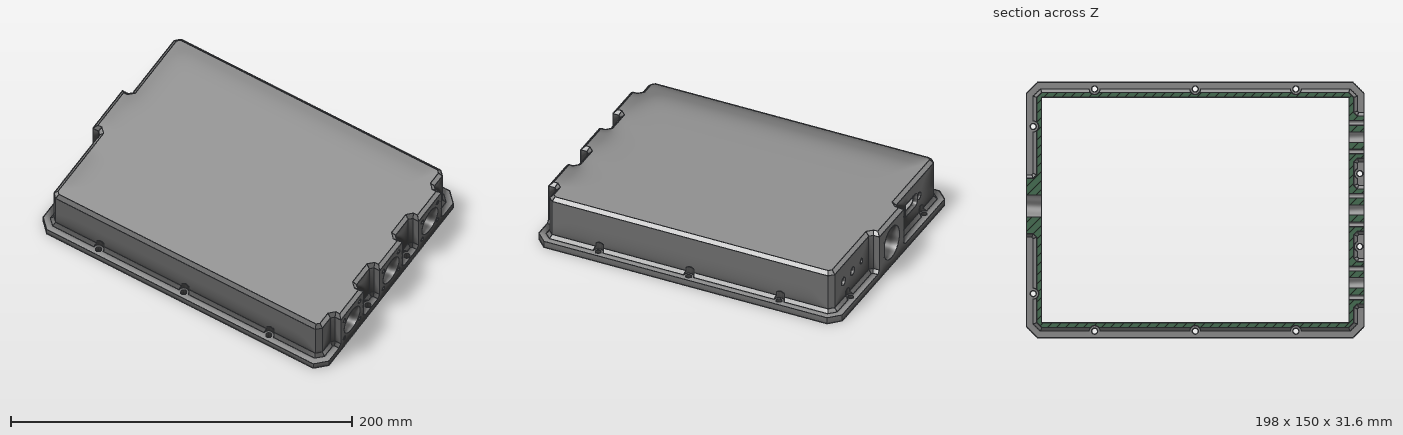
import cadquery as cq
import math

LENGTH = 198.0
WIDTH = 150.0
HEIGHT = 31.6

FLANGE_THICKNESS = 4.2
FLANGE_CORNER = 6.6

WALL_INSET = 6.0
WALL = 3.0
BODY_CORNER = 3.0
TOP_BEVEL = 2.2
SKIRT = 2.0

BULGE_BLEND = 2.0
SWITCH_BULGE_Y = 2.4
SWITCH_BULGE_WIDTH = 32.6
SOCKET_BULGE_WIDTH = 24.9
SOCKET_PITCH = 42.75

SCREW_DIAMETER = 3.4
SIDE_SCREW_PITCH = 59.0
SIDE_SCREW_INSET = 4.0
LEFT_SCREW_INSET = 4.0
LEFT_SCREW_SPAN = 98.0
RIGHT_SCREW_INSET = 2.5
HEAD_DIAMETER = 6.4
HEAD_SHOULDER_Z = 8.5
HEAD_TOP_Z = 10.3

SOCKET_DIAMETER = 17.6
SOCKET_Z = HEIGHT / 2
SOCKET_SCREW_DIAMETER = 2.6
SOCKET_SCREW_PITCH = 16.8

SWITCH_DIAMETER = 21.0
SWITCH_FLAT_OFFSET = 9.2

PANEL_Z = 17.7
PANEL_HOLES = ((54.4, 5.2), (42.2, 5.2), (30.4, 3.3))

PORT_Y = -36.3
PORT_WIDTH = 16.2
PORT_HEIGHT = 8.6
PORT_RADIUS = 3.0
PORT_SCREW_PITCH = 20.8
PORT_SCREW_DIAMETER = 2.0
PORT_SINK_DIAMETER = 4.6

HALF_LENGTH = LENGTH / 2
HALF_WIDTH = WIDTH / 2
WALL_X = HALF_LENGTH - WALL_INSET
WALL_Y = HALF_WIDTH - WALL_INSET
SOCKET_CENTERS = [step * SOCKET_PITCH for step in (-1, 0, 1)]


def bulge_points(side, center, width):
    """Points of one bulge in rising Y; side is +1 on the +X wall and -1 on the -X wall."""
    wall = side * WALL_X
    blend_end = side * (WALL_X + BULGE_BLEND)
    face = side * HALF_LENGTH
    low = center - width / 2
    high = center + width / 2
    return [
        (wall, low - BULGE_BLEND),
        (blend_end, low),
        (face, low),
        (face, high),
        (blend_end, high),
        (wall, high + BULGE_BLEND),
    ]


def body_outline():
    """Corner-cut rectangle with three bulges on +X and one on -X, counterclockwise."""
    corner_x = WALL_X - BODY_CORNER
    corner_y = WALL_Y - BODY_CORNER
    points = [(corner_x, -WALL_Y), (WALL_X, -corner_y)]
    for center in SOCKET_CENTERS:
        points += bulge_points(1, center, SOCKET_BULGE_WIDTH)
    points += [(WALL_X, corner_y), (corner_x, WALL_Y)]
    points += [(-corner_x, WALL_Y), (-WALL_X, corner_y)]
    points += reversed(bulge_points(-1, SWITCH_BULGE_Y, SWITCH_BULGE_WIDTH))
    points += [(-WALL_X, -corner_y), (-corner_x, -WALL_Y)]
    return cq.Workplane("XY").polyline(points).close()


def standing_box(length, width, height):
    """Box centered on the Z axis with its underside at Z = 0."""
    return cq.Workplane("XY").box(length, width, height, centered=(True, True, False))


def flange_block(height):
    return standing_box(LENGTH, WIDTH, height).edges("|Z").chamfer(FLANGE_CORNER)


def make_skirt():
    """Sloped foot between the walls and the flange, trimmed to the flange outline."""
    skirt_top = FLANGE_THICKNESS + SKIRT
    skirt = body_outline().offset2D(SKIRT, "intersection").extrude(skirt_top)
    return skirt.faces(">Z").edges().chamfer(SKIRT).intersect(flange_block(skirt_top))


def make_shell():
    """Flange, skirt and bevelled body, hollowed from below."""
    body = body_outline().extrude(HEIGHT).faces(">Z").edges().chamfer(TOP_BEVEL)
    cavity = standing_box(2 * (WALL_X - WALL), 2 * (WALL_Y - WALL), HEIGHT - WALL)
    return flange_block(FLANGE_THICKNESS).union(make_skirt()).union(body).cut(cavity)


def screw_points():
    side_y = HALF_WIDTH - SIDE_SCREW_INSET
    points = []
    for sign in (-1, 1):
        points += [(step * SIDE_SCREW_PITCH, sign * side_y) for step in (-1, 0, 1)]
        points.append((LEFT_SCREW_INSET - HALF_LENGTH, sign * LEFT_SCREW_SPAN / 2))
        points.append((HALF_LENGTH - RIGHT_SCREW_INSET, sign * SOCKET_PITCH / 2))
    return points


def screw_cutter():
    """Through hole with a head clearance above the flange that narrows at 45 degrees."""
    hole = SCREW_DIAMETER / 2
    head = HEAD_DIAMETER / 2
    tip = head - (HEAD_TOP_Z - HEAD_SHOULDER_Z)
    profile = [
        (0, 0),
        (hole, 0),
        (hole, FLANGE_THICKNESS),
        (head, FLANGE_THICKNESS),
        (head, HEAD_SHOULDER_Z),
        (tip, HEAD_TOP_Z),
        (0, HEAD_TOP_Z),
    ]
    return cq.Workplane("XZ").polyline(profile).close().revolve(360, (0, 0, 0), (0, 1, 0))


def cut_screws(part):
    cutter = screw_cutter()
    for x, y in screw_points():
        part = part.cut(cutter.translate((x, y, 0)))
    return part


def end_sketch(x, y, z):
    """Sketch plane across X: local axes are +Y and +Z, and extrusions run toward +X."""
    return cq.Workplane("YZ", origin=(x, 0, 0)).center(y, z)


def right_sketch(y, z):
    """Sketch inside the cavity for cuts through the +X wall."""
    return end_sketch(0, y, z)


def left_sketch(y, z):
    """Sketch on the outer -X face for cuts that end inside the cavity."""
    return end_sketch(-HALF_LENGTH, y, z)


def cut_sockets(part):
    pitch = SOCKET_SCREW_PITCH
    for y in SOCKET_CENTERS:
        bore = right_sketch(y, SOCKET_Z).circle(SOCKET_DIAMETER / 2).extrude(HALF_LENGTH)
        screws = (
            right_sketch(y, SOCKET_Z)
            .rect(pitch, pitch, forConstruction=True)
            .vertices()
            .circle(SOCKET_SCREW_DIAMETER / 2)
            .extrude(HALF_LENGTH)
        )
        part = part.cut(bore).cut(screws)
    return part


def cut_switch(part):
    radius = SWITCH_DIAMETER / 2
    half_flat = math.sqrt(radius**2 - SWITCH_FLAT_OFFSET**2)
    opening = (
        left_sketch(SWITCH_BULGE_Y, SOCKET_Z)
        .moveTo(SWITCH_FLAT_OFFSET, half_flat)
        .threePointArc((-radius, 0), (SWITCH_FLAT_OFFSET, -half_flat))
        .close()
        .extrude(HALF_LENGTH)
    )
    return part.cut(opening)


def cut_panel_holes(part):
    for y, diameter in PANEL_HOLES:
        part = part.cut(left_sketch(y, PANEL_Z).circle(diameter / 2).extrude(HALF_LENGTH))
    return part


def cut_port(part):
    opening = left_sketch(PORT_Y, PANEL_Z).rect(PORT_WIDTH, PORT_HEIGHT).extrude(HALF_LENGTH)
    part = part.cut(opening.edges("|X and <Y").fillet(PORT_RADIUS))
    for sign in (-1, 1):
        countersink = (
            end_sketch(-WALL_X, PORT_Y + sign * PORT_SCREW_PITCH / 2, PANEL_Z)
            .circle(PORT_SINK_DIAMETER / 2)
            .workplane(offset=WALL)
            .circle(PORT_SCREW_DIAMETER / 2)
            .loft()
        )
        part = part.cut(countersink)
    return part


def make_part():
    part = cut_screws(make_shell())
    part = cut_sockets(part)
    part = cut_switch(part)
    part = cut_panel_holes(part)
    return cut_port(part)


result = make_part()